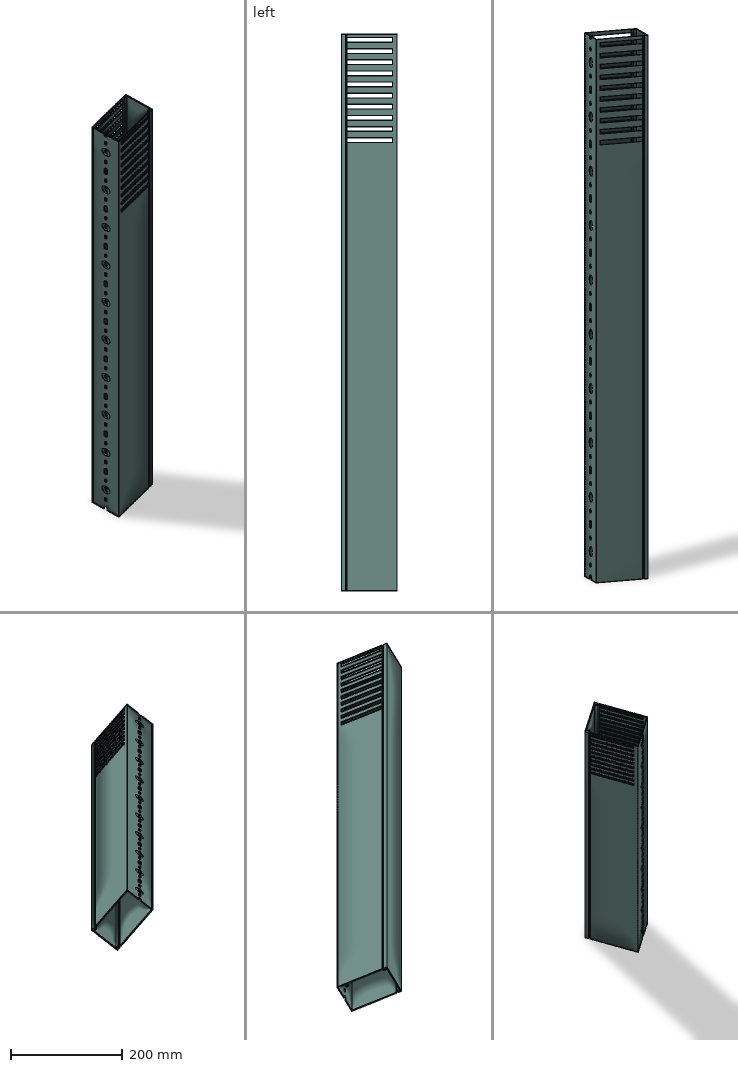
import cadquery as cq

WIDTH = 60.0
DEPTH = 100.0
LENGTH = 1000.0
HALF_WIDTH = WIDTH / 2
BASE_Y = -DEPTH / 2
COVER_Y = DEPTH / 2

WALL = 2.0
BASE_THICKNESS = 1.5
COVER_THICKNESS = 2.0
BASE_INNER_Y = BASE_Y + BASE_THICKNESS
COVER_INNER_Y = COVER_Y - COVER_THICKNESS

BEND_DEPTH = 10.0
BEND_OFFSET = 3.0
BEND_RISE = 2.0
BEND_Y = COVER_Y - BEND_DEPTH
RIM_Y = BEND_Y + BEND_RISE

SKIRT_DEPTH = 7.0
SKIRT_THICKNESS = BEND_OFFSET
SKIRT_Y = COVER_Y - SKIRT_DEPTH

SLOT_COUNT = 10
SLOT_PITCH = 20.0
SLOT_HEIGHT = 8.0
SLOT_TOP_GAP = 6.5
SLOT_BASE_GAP = 8.5
SLOT_FIRST_Z = LENGTH - SLOT_TOP_GAP - SLOT_HEIGHT / 2
SLOT_START_Y = BASE_Y + SLOT_BASE_GAP
SLOT_LENGTH = BEND_Y - SLOT_START_Y

HOLE_PITCH = 50.0
HOLE_OFFSET = 1.5
HOLE_PITCH_COUNT = round(LENGTH / HOLE_PITCH)
LARGE_WIDTH = 6.5
LARGE_HEIGHT = 14.0
SMALL_WIDTH = 5.0
SMALL_HEIGHT = 7.5

BOSS_RADIUS = 9.0
BOSS_HEIGHT = 3.0
BOSS_PITCH = 2 * HOLE_PITCH
BOSS_COUNT = HOLE_PITCH_COUNT // 2
BOSS_FIRST_Z = HOLE_OFFSET + HOLE_PITCH


def mirrored_profile(half_outline):
    """Extrude the closed outline whose left half is given, over the full length."""
    right_half = [(-x, y) for x, y in reversed(half_outline)]
    return cq.Workplane("XY").polyline(half_outline + right_half).close().extrude(LENGTH)


def make_shell():
    """Base and two side walls, each wall sloping inward to a rim beside the cover skirt."""
    rim_x = -HALF_WIDTH + BEND_OFFSET
    body = mirrored_profile([
        (-HALF_WIDTH, BASE_Y),
        (-HALF_WIDTH, BEND_Y),
        (rim_x, RIM_Y),
        (rim_x, COVER_INNER_Y),
    ])
    cavity = mirrored_profile([
        (-HALF_WIDTH + WALL, BASE_INNER_Y),
        (-HALF_WIDTH + WALL, BEND_Y),
        (rim_x + WALL, RIM_Y),
        (rim_x + WALL, COVER_INNER_Y),
    ])
    return body.cut(cavity)


def make_bosses():
    """Discs on the inner face of the base."""
    centers = [(0, BOSS_FIRST_Z + i * BOSS_PITCH) for i in range(BOSS_COUNT)]
    return (
        cq.Workplane("XZ", origin=(0, BASE_INNER_Y, 0))
        .pushPoints(centers)
        .circle(BOSS_RADIUS)
        .extrude(-BOSS_HEIGHT)
    )


def side_slots():
    """Bars that cut each slot through both side walls at once."""
    center_y = SLOT_START_Y + SLOT_LENGTH / 2
    centers = [(0, center_y, SLOT_FIRST_Z - i * SLOT_PITCH) for i in range(SLOT_COUNT)]
    return cq.Workplane("XY").pushPoints(centers).box(WIDTH, SLOT_LENGTH, SLOT_HEIGHT)


def base_holes(width, height, first_z, count):
    """Upright obround cutters through the base and its bosses."""
    centers = [(0, first_z + i * HOLE_PITCH) for i in range(count)]
    return (
        cq.Workplane("XZ", origin=(0, BASE_Y, 0))
        .pushPoints(centers)
        .slot2D(height, width, 90)
        .extrude(-BASE_THICKNESS - BOSS_HEIGHT)
    )


def make_channel():
    large_holes = base_holes(LARGE_WIDTH, LARGE_HEIGHT, HOLE_OFFSET, HOLE_PITCH_COUNT + 1)
    small_first_z = HOLE_OFFSET + HOLE_PITCH / 2
    small_holes = base_holes(SMALL_WIDTH, SMALL_HEIGHT, small_first_z, HOLE_PITCH_COUNT)
    channel = make_shell().union(make_bosses())
    return channel.cut(side_slots()).cut(large_holes).cut(small_holes)


def make_cover():
    """Flat plate with a short skirt along each side."""
    skirt_inner_x = -HALF_WIDTH + SKIRT_THICKNESS
    body = mirrored_profile([(-HALF_WIDTH, SKIRT_Y), (-HALF_WIDTH, COVER_Y)])
    cavity = mirrored_profile([(skirt_inner_x, SKIRT_Y), (skirt_inner_x, COVER_INNER_Y)])
    return body.cut(cavity)


channel = make_channel()
cover = make_cover()
result = cq.Compound.makeCompound([channel.solids().val(), cover.solids().val()])